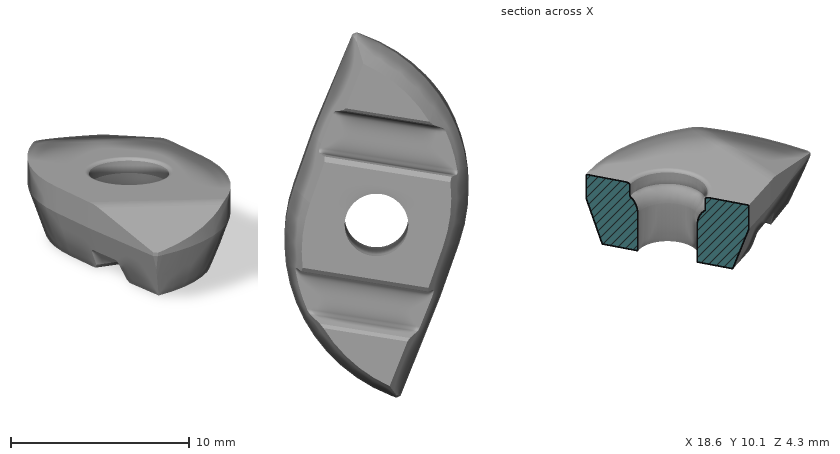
import cadquery as cq
import math

length = 18.6
width = 10.06
height = 4.3
half_length = length / 2
half_width = width / 2

arc_radius = 9.45
arc_center_x = arc_radius - half_length
arc_center_y = 4.54
side_angle = math.radians(2.3)
corner_chamfer = 0.19

parting_z = 2.75
relief_angle = 19.5

facet_direction = 58.0
facet_crease = 5.65
facet_angle = math.radians(15.6)
blend_reach = 0.37
cut_margin = 3.72

bore_radius = 1.79
head_radius = 2.25
rim_radius = 2.5
rim_depth = 0.15
head_depth = 0.87
seat_bottom_depth = 1.86

channel_height = 1.25
channel_inner_x = -3.42
channel_outer_x = -5.88
channel_outer_flare = 0.37
channel_root_fillet = 0.25
channel_mouth_chamfer = 0.26
channel_angle = 12.2


def half_turn(point):
    return (-point[0], -point[1])


def plan_outline(workplane):
    """Outline with two-fold symmetry about the screw axis."""
    corner_side = (-half_length + corner_chamfer, half_width)
    corner_end = (-half_length, half_width - corner_chamfer)
    arc_start = (-half_length, arc_center_y)

    def arc_point(angle):
        return (
            arc_center_x + arc_radius * math.cos(angle),
            arc_center_y + arc_radius * math.sin(angle),
        )

    arc_end_angle = 1.5 * math.pi - side_angle
    arc_middle = arc_point((math.pi + arc_end_angle) / 2)
    arc_end = arc_point(arc_end_angle)
    side_run = (arc_end[1] + half_width) / math.tan(side_angle)
    side_start = (arc_end[0] + side_run, -half_width)

    return (
        workplane.moveTo(*corner_side)
        .lineTo(*corner_end)
        .lineTo(*arc_start)
        .threePointArc(arc_middle, arc_end)
        .lineTo(*side_start)
        .lineTo(*half_turn(corner_side))
        .lineTo(*half_turn(corner_end))
        .lineTo(*half_turn(arc_start))
        .threePointArc(half_turn(arc_middle), half_turn(arc_end))
        .lineTo(*half_turn(side_start))
        .close()
    )


def make_body():
    parting = cq.Workplane("XY").workplane(offset=parting_z)
    upper = plan_outline(parting).extrude(height - parting_z)
    lower = plan_outline(parting).extrude(-parting_z, taper=relief_angle)
    return upper.union(lower)


def facet_cutter():
    """Material above one end facet, swept parallel to its crease."""
    blend_radius = blend_reach / math.tan(facet_angle / 2)
    blend_start = facet_crease - blend_reach

    def blend_point(angle):
        return (
            blend_start + blend_radius * math.sin(angle),
            height - blend_radius * (1 - math.cos(angle)),
        )

    far = half_length + cut_margin
    far_z = height - (far - facet_crease) * math.tan(facet_angle)
    return (
        cq.Workplane("XZ")
        .moveTo(blend_start, height)
        .threePointArc(blend_point(facet_angle / 2), blend_point(facet_angle))
        .lineTo(far, far_z)
        .lineTo(far, height + cut_margin)
        .lineTo(blend_start, height + cut_margin)
        .close()
        .extrude(half_length, both=True)
        .rotate((0, 0, 0), (0, 0, 1), facet_direction + 90)
    )


def hole_cutter():
    """Bore, rounded screw seat, head recess and rounded rim."""
    seat_drop = seat_bottom_depth - head_depth
    seat_step = head_radius - bore_radius
    seat_radius = (seat_drop**2 + seat_step**2) / (2 * seat_step)
    half_sweep = math.asin(seat_drop / seat_radius) / 2
    seat_middle = (
        bore_radius + seat_radius * (1 - math.cos(half_sweep)),
        height - seat_bottom_depth + seat_radius * math.sin(half_sweep),
    )
    rim_step = rim_radius - head_radius
    rim_arc_radius = (rim_depth**2 + rim_step**2) / (2 * rim_depth)
    rim_half_sweep = math.asin(rim_step / rim_arc_radius) / 2
    rim_middle = (
        rim_radius - rim_arc_radius * math.sin(rim_half_sweep),
        height - rim_arc_radius * (1 - math.cos(rim_half_sweep)),
    )
    return (
        cq.Workplane("XZ")
        .lineTo(bore_radius, 0)
        .lineTo(bore_radius, height - seat_bottom_depth)
        .threePointArc(seat_middle, (head_radius, height - head_depth))
        .lineTo(head_radius, height - rim_depth)
        .threePointArc(rim_middle, (rim_radius, height))
        .lineTo(0, height)
        .close()
        .revolve(360, (0, 0, 0), (0, 1, 0))
    )


def channel_cutter():
    """One channel with a sloping outer wall and an upright inner wall."""
    root = (
        cq.Workplane("XZ")
        .moveTo(channel_outer_x - channel_outer_flare, 0)
        .lineTo(channel_outer_x, channel_height)
        .lineTo(channel_inner_x, channel_height)
        .lineTo(channel_inner_x, 0)
        .close()
        .extrude(half_length, both=True)
        .edges("|Y and >Z")
        .fillet(channel_root_fillet)
    )
    mouth_outer_x = channel_outer_x - channel_outer_flare
    mouth = (
        cq.Workplane("XZ")
        .moveTo(mouth_outer_x - channel_mouth_chamfer / 2, 0)
        .lineTo(mouth_outer_x + channel_mouth_chamfer / 2, channel_mouth_chamfer)
        .lineTo(channel_inner_x, channel_mouth_chamfer)
        .lineTo(channel_inner_x + channel_mouth_chamfer, 0)
        .close()
        .extrude(half_length, both=True)
    )
    pivot_x = channel_inner_x
    return root.union(mouth).rotate((pivot_x, 0, 0), (pivot_x, 0, 1), -channel_angle)


result = make_body().cut(hole_cutter())
for cutter in (facet_cutter(), channel_cutter()):
    for turn in (0, 180):
        result = result.cut(cutter.rotate((0, 0, 0), (0, 0, 1), turn))